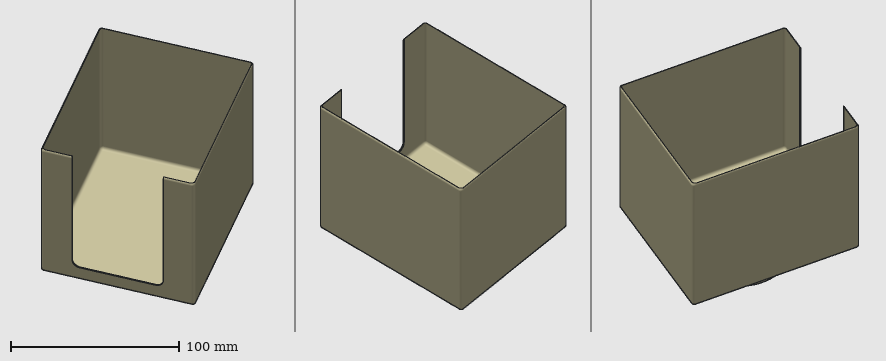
import cadquery as cq
import math

width = 96.6
depth = 111.6
total_height = 119.8

wall = 0.8
floor_thickness = 0.8
outer_radius = 2.0
inner_radius = 2.0

stem_diameter = 60.0
stem_height = 20.0

slot_width = 57.0
slot_sill = 10.0
slot_corner_radius = 5.0

corner_centre_offset = math.sqrt(2) * (wall + inner_radius - outer_radius)
peak_inset = inner_radius - corner_centre_offset
rim_loss = outer_radius - math.sqrt(outer_radius**2 - peak_inset**2)
block_height = total_height - stem_height + rim_loss


def block():
    """Box with all edges rounded, standing on Z = 0."""
    box = cq.Workplane("XY").box(width, depth, block_height, centered=(True, True, False))
    return box.edges().fillet(outer_radius)


def cavity():
    """Open-topped interior with rounded upright and floor edges."""
    box = (
        cq.Workplane("XY")
        .workplane(offset=floor_thickness)
        .box(width - 2 * wall, depth - 2 * wall, block_height, centered=(True, True, False))
    )
    return box.edges("|Z or <Z").fillet(inner_radius)


def slot():
    """Cutter for the front wall, open at the top with rounded lower corners."""
    cut_depth = depth / 2
    return (
        cq.Workplane("XY")
        .box(slot_width, cut_depth, block_height, centered=(True, True, False))
        .edges("|Y and <Z")
        .fillet(slot_corner_radius)
        .translate((0, -depth / 2, slot_sill))
    )


def stem():
    """Solid cylinder, extended up into the floor to join the bin."""
    return (
        cq.Workplane("XY")
        .workplane(offset=-stem_height)
        .circle(stem_diameter / 2)
        .extrude(stem_height + floor_thickness / 2)
    )


result = block().cut(cavity()).cut(slot()).union(stem())